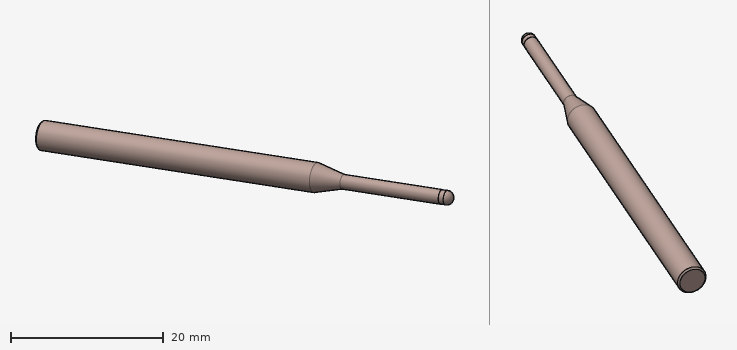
import cadquery as cq

total_length = 60.0
body_diameter = 4.0
body_length = 40.0
body_chamfer = 0.25
taper_length = 3.95
pin_diameter = 2.0
neck_diameter = 1.9
neck_length = 0.7

body_radius = body_diameter / 2
pin_radius = pin_diameter / 2
neck_radius = neck_diameter / 2
tip_radius = pin_radius

taper_end = body_length + taper_length
tip_start = total_length - tip_radius
neck_start = tip_start - neck_length

tip_middle = tip_radius * 0.5 ** 0.5
half_profile = (
    cq.Workplane("XY")
    .moveTo(0, 0)
    .lineTo(0, body_radius - body_chamfer)
    .lineTo(body_chamfer, body_radius)
    .lineTo(body_length, body_radius)
    .lineTo(taper_end, pin_radius)
    .lineTo(neck_start, pin_radius)
    .lineTo(neck_start, neck_radius)
    .lineTo(tip_start, neck_radius)
    .lineTo(tip_start, tip_radius)
    .threePointArc((tip_start + tip_middle, tip_middle), (total_length, 0))
    .close()
)

result = half_profile.revolve(360, (0, 0, 0), (1, 0, 0))